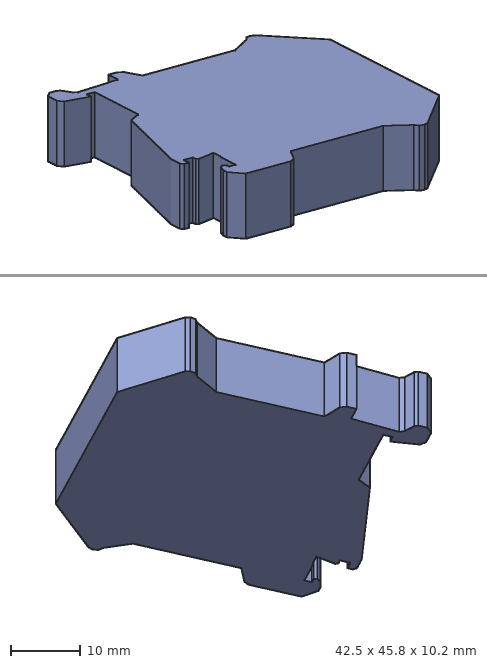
import cadquery as cq

thickness = 10.15
height = 45.8
half_width = 21.25
half_body = 18.1
half_top = 13.35

nose_tip_y = 37.35
nose_upper = (20.98, 38.1)
nose_lower = (21.1, 36.55)
nose_root = (20.43, 36.05)
neck_y = 32.3

shoulder_top_y = 15.75
shoulder_corner = (20.8, 14.35)
shoulder_side_y = 13.45

rail_seat_y = 6.35
ledge_y = 11.95
left_lip_y = 4.95
left_recess_x = -17.0
right_recess_x = 17.65
right_recess_y = 6.25
right_lip_y = 5.1
hook_bottom_y = 3.53

foot_tip_x = 13.0
notch_x = 11.72
notch_bottom_y = 1.3
notch_top_y = 2.9

latch_outer_x = -20.65
latch_lip_x = -15.9

foot_root_left_x = -6.3
foot_root_right_x = 12.05

step_start_x = 13.65
step_end_x = 14.3


def side_points(side):
    """Points from the top edge down to the lower shoulder on side -1 or 1."""
    points = [
        (half_top, height),
        nose_upper,
        (half_width, nose_tip_y),
        nose_lower,
        nose_root,
        (half_body, neck_y),
        (half_body, shoulder_top_y),
        shoulder_corner,
        (half_width, shoulder_side_y),
    ]
    return [(side * x, y) for x, y in points]


def add_left_latch(outline):
    """Slender leg with a faceted outer heel and an inward lip."""
    return (
        outline.lineTo(-half_width, ledge_y)
        .lineTo(-18.9, ledge_y)
        .lineTo(-18.4, 4.45)
        .lineTo(-18.82, 3.75)
        .lineTo(-20.4, 2.8)
        .lineTo(latch_outer_x, 2.35)
        .lineTo(latch_outer_x, 0.95)
        .lineTo(-19.75, 0)
        .lineTo(-17.5, 0)
        .lineTo(-16.65, 0.7)
        .lineTo(latch_lip_x, left_lip_y)
        .lineTo(left_recess_x, left_lip_y)
        .lineTo(left_recess_x, rail_seat_y)
    )


def add_central_foot(outline):
    """Sloping foot with a small notch near its tip."""
    return (
        outline.lineTo(foot_root_left_x, rail_seat_y)
        .lineTo(-5.15, 4.2)
        .lineTo(10.4, 0)
        .lineTo(12.55, 0)
        .lineTo(foot_tip_x, 0.45)
        .lineTo(foot_tip_x, notch_bottom_y)
        .lineTo(notch_x, notch_bottom_y)
        .lineTo(notch_x, notch_top_y)
        .lineTo(12.4, notch_top_y)
        .lineTo(12.7, 3.25)
        .lineTo(foot_root_right_x, rail_seat_y)
    )


def add_right_hook(outline):
    """Fixed hook with a faceted lip facing the central foot."""
    return (
        outline.lineTo(step_start_x, rail_seat_y)
        .lineTo(step_end_x, right_recess_y)
        .lineTo(right_recess_x, right_recess_y)
        .lineTo(right_recess_x, right_lip_y)
        .lineTo(16.95, right_lip_y)
        .lineTo(16.65, 4.63)
        .lineTo(17.15, 3.95)
        .lineTo(18.3, hook_bottom_y)
        .lineTo(19.2, hook_bottom_y)
        .lineTo(half_width, 5.4)
    )


outline = cq.Workplane("XY").polyline(side_points(-1))
outline = add_left_latch(outline)
outline = add_central_foot(outline)
outline = add_right_hook(outline)
for point in reversed(side_points(1)):
    outline = outline.lineTo(*point)

result = outline.close().extrude(thickness)